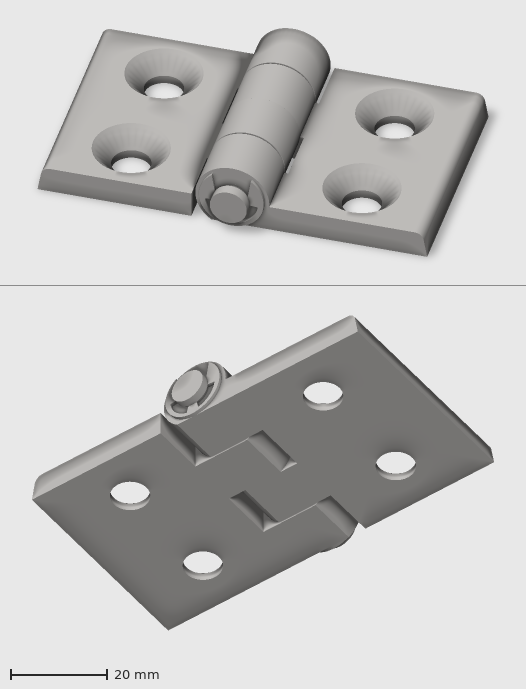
import cadquery as cq
import math

total_width = 84.2
leaf_length = 48.0
plate_thickness = 6.0
edge_draft = 10.0
edge_radius = 2.0
barrel_radius = 8.0
overall_height = 14.6
axis_height = overall_height - barrel_radius
knuckle_clearance = 0.85
knuckle_gap = 0.4
knuckle_length = (leaf_length / 2 - knuckle_gap) / 2

hole_x = 24.9
hole_y = 12.8
hole_diameter = 8.4
countersink_diameter = 16.5
countersink_angle = 90.0

pin_length = 53.9
pin_shift = -0.25
pin_radius = 4.0
groove_radius = 3.5

clip_thickness = 0.85
clip_rise = 0.4
clip_radius = axis_height + clip_rise
mouth_half_width = 4.2
mouth_tip_height = 5.9
mouth_taper = 9.0
relief_radius = 5.7
relief_start = 5.5
relief_end = 75.0
clip_starts = (-leaf_length / 2 - clip_thickness, leaf_length / 2)

overlap = 0.85


def y_cylinder(radius, y_start, y_end):
    """Solid cylinder on the hinge axis."""
    return (
        cq.Workplane("XZ", origin=(0, y_start, axis_height))
        .circle(radius)
        .extrude(y_start - y_end)
    )


def y_box(x_start, x_end, y_start, y_end):
    """Box with the height of the whole hinge, standing on the base plane."""
    return (
        cq.Workplane("XY")
        .box(x_end - x_start, y_end - y_start, overall_height, centered=False)
        .translate((x_start, y_start, 0))
    )


def make_plate():
    """Left plate, from its sloped and rounded outer edge to the hinge axis."""
    edge_x = -total_width / 2
    edge_run = plate_thickness * math.tan(math.radians(edge_draft))
    return (
        cq.Workplane("XZ", origin=(0, leaf_length / 2, 0))
        .moveTo(edge_x, 0)
        .lineTo(0, 0)
        .lineTo(0, plate_thickness)
        .lineTo(edge_x + edge_run, plate_thickness)
        .close()
        .extrude(leaf_length)
        .edges("|Y and >Z")
        .edges("<X")
        .fillet(edge_radius)
    )


def screw_hole(center_x, center_y):
    """Cutter for a countersunk hole through the plate, sunk from above."""
    hole_radius = hole_diameter / 2
    sink_radius = countersink_diameter / 2
    sink_depth = (sink_radius - hole_radius) / math.tan(math.radians(countersink_angle / 2))
    return (
        cq.Workplane("XZ")
        .polyline([
            (0, 0),
            (hole_radius, 0),
            (hole_radius, plate_thickness - sink_depth),
            (sink_radius, plate_thickness),
            (0, plate_thickness),
        ])
        .close()
        .revolve(360, (0, 0, 0), (0, 1, 0))
        .translate((center_x, center_y, 0))
    )


def make_leaf():
    """Left leaf: knuckles at the +Y end and just below the middle."""
    half_length = leaf_length / 2
    slot_x = barrel_radius + knuckle_clearance
    knuckles = [
        (half_length - knuckle_length, half_length),
        (-knuckle_length, 0),
    ]
    slots = [
        (0, half_length - knuckle_length),
        (-half_length, -knuckle_length),
    ]

    leaf = make_plate()
    for y_start, y_end in slots:
        leaf = leaf.cut(y_box(-slot_x, overlap, y_start, y_end))
    base_limit = y_box(-barrel_radius, barrel_radius, -half_length, half_length)
    for y_start, y_end in knuckles:
        leaf = leaf.union(y_cylinder(barrel_radius, y_start, y_end).intersect(base_limit))
    leaf = leaf.cut(y_cylinder(pin_radius, -half_length, half_length))
    for hole_center in ((-hole_x, -hole_y), (-hole_x, hole_y)):
        leaf = leaf.cut(screw_hole(*hole_center))
    return leaf


def make_pin():
    """Pin with a groove for each retaining clip."""
    pin = y_cylinder(pin_radius, pin_shift - pin_length / 2, pin_shift + pin_length / 2)
    for y_start in clip_starts:
        y_end = y_start + clip_thickness
        ring = y_cylinder(pin_radius + overlap, y_start, y_end).cut(
            y_cylinder(groove_radius, y_start, y_end)
        )
        pin = pin.cut(ring)
    return pin


def below_axis(radius, angle, side):
    """Point at an angle below horizontal; side is -1 for left, 1 for right."""
    turn = math.radians(angle)
    return (side * radius * math.cos(turn), -radius * math.sin(turn))


def make_clip(y_start):
    """Retaining clip with its mouth upward and two reliefs below the pin."""
    y_end = y_start + clip_thickness
    plane = cq.Workplane("XZ", origin=(0, y_end, axis_height))
    clip = plane.center(0, clip_rise).circle(clip_radius).extrude(clip_thickness)
    clip = clip.cut(y_cylinder(groove_radius, y_start, y_end))

    slope = math.tan(math.radians(mouth_taper))
    mouth_top = clip_radius + overlap
    top_half_width = mouth_half_width + (mouth_top - mouth_tip_height) * slope
    bottom_half_width = mouth_half_width - mouth_tip_height * slope
    mouth = (
        plane.polyline([
            (-bottom_half_width, 0),
            (bottom_half_width, 0),
            (top_half_width, mouth_top),
            (-top_half_width, mouth_top),
        ])
        .close()
        .extrude(clip_thickness)
    )
    clip = clip.cut(mouth)

    relief_middle = (relief_start + relief_end) / 2
    for side in (-1, 1):
        relief = (
            plane.moveTo(0, 0)
            .lineTo(*below_axis(relief_radius, relief_start, side))
            .threePointArc(
                below_axis(relief_radius, relief_middle, side),
                below_axis(relief_radius, relief_end, side),
            )
            .close()
            .extrude(clip_thickness)
        )
        clip = clip.cut(relief)
    return clip


left_leaf = make_leaf()
right_leaf = left_leaf.rotate((0, 0, 0), (0, 0, 1), 180)
pin = make_pin()
clips = [make_clip(y_start) for y_start in clip_starts]

result = cq.Compound.makeCompound(
    [left_leaf.val(), right_leaf.val(), pin.val(), *[clip.val() for clip in clips]]
)